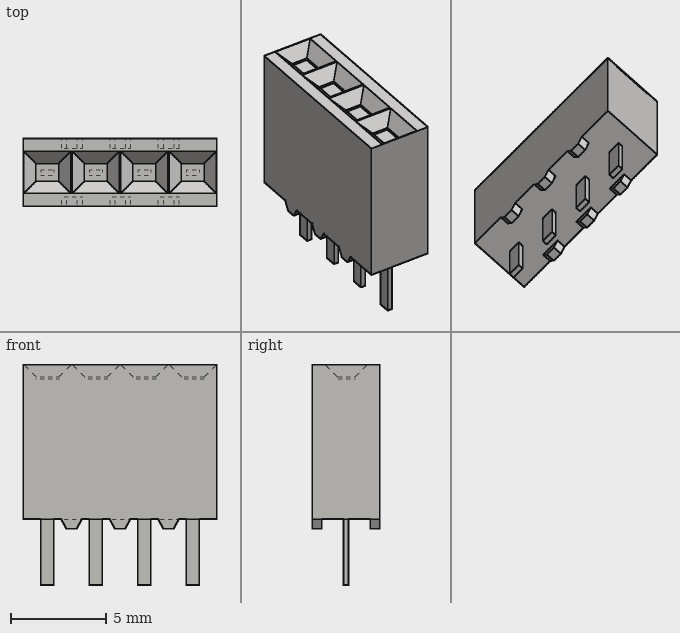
import cadquery as cq

contact_count = 4
pitch = 2.54
housing_length = contact_count * pitch
housing_width = 3.56
housing_height = 8.1

cell_wall = 0.08
funnel_length = pitch - cell_wall
funnel_width = 2.2
funnel_inset = 0.635
funnel_depth = funnel_inset
well_length = funnel_length - 2 * funnel_inset
well_width = funnel_width - 2 * funnel_inset
well_depth = 0.12

overall_height = 11.56
pin_length = overall_height - housing_height
pin_width = 0.7
pin_thickness = 0.28

foot_height = 0.51
foot_thickness = 0.51
foot_root_length = 1.1
foot_tip_length = 0.54


def row_positions(count):
    """X positions of a centred row of items spaced by the pitch."""
    return [(i - (count - 1) / 2) * pitch for i in range(count)]


def make_housing():
    return cq.Workplane("XY").box(
        housing_length, housing_width, housing_height, centered=(True, True, False)
    )


def make_socket(x):
    """Tapered funnel from the top face, with the straight well below it."""
    funnel = (
        cq.Workplane("XY", origin=(x, 0, housing_height))
        .rect(funnel_length, funnel_width)
        .workplane(offset=-funnel_depth)
        .rect(well_length, well_width)
        .loft(ruled=True)
    )
    well = (
        cq.Workplane("XY", origin=(x, 0, housing_height - funnel_depth))
        .rect(well_length, well_width)
        .extrude(-well_depth)
    )
    return funnel.union(well)


def make_pin(x):
    return cq.Workplane("XY", origin=(x, 0, 0)).rect(pin_width, pin_thickness).extrude(-pin_length)


def make_foot(x, back_y):
    """Foot whose +Y face lies at back_y."""
    return (
        cq.Workplane("XZ", origin=(x, back_y, 0))
        .polyline([
            (-foot_root_length / 2, 0),
            (foot_root_length / 2, 0),
            (foot_tip_length / 2, -foot_height),
            (-foot_tip_length / 2, -foot_height),
        ])
        .close()
        .extrude(foot_thickness)
    )


result = make_housing()

for contact_x in row_positions(contact_count):
    result = result.cut(make_socket(contact_x))
    result = result.union(make_pin(contact_x))

for foot_x in row_positions(contact_count - 1):
    for foot_back_y in (housing_width / 2, foot_thickness - housing_width / 2):
        result = result.union(make_foot(foot_x, foot_back_y))